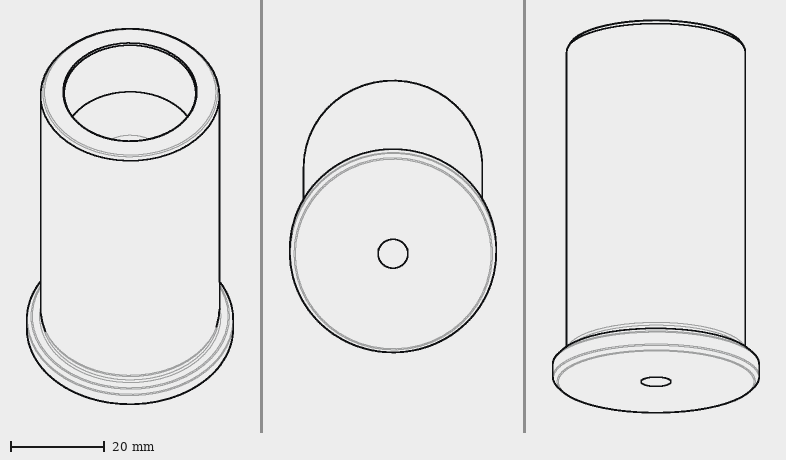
import cadquery as cq
import math

total_height = 75.0
body_radius = 38.1 / 2

corner_radius = 0.4

flange_radius = 44.0 / 2
flange_height = 5.0
flange_chamfer = 1.0

neck_radius = 37.8 / 2
body_bottom = 7.0
ramp_angle = 15.0
ramp_height = (body_radius - neck_radius) / math.tan(math.radians(ramp_angle))

lead_height = 1.0
lead_angle = 30.0
lead_width = lead_height * math.tan(math.radians(lead_angle))

bore_radius = 28.0 / 2
bore_depth = 15.0
mouth_chamfer_width = 0.25
mouth_chamfer_angle = 30.0
mouth_chamfer_depth = mouth_chamfer_width / math.tan(math.radians(mouth_chamfer_angle))
waist_radius = 15.0 / 2
drill_radius = 6.35 / 2
upper_funnel_slope = 45.0
lower_funnel_slope = 60.0


def revolved(section):
    """Turn a closed (radius, height) section about the Z axis."""
    return section.revolve(360, (0, 0, 0), (0, 1, 0))


def funnel_height(outer_radius, inner_radius, slope):
    """Height of a funnel whose wall leans `slope` degrees from horizontal."""
    return (outer_radius - inner_radius) * math.tan(math.radians(slope))


def flange():
    disc = cq.Workplane("XY").circle(flange_radius).extrude(flange_height)
    return disc.edges().chamfer(flange_chamfer).edges("%CIRCLE").fillet(corner_radius)


def body():
    """Neck, ramp, cylinder and lead-in; the lower end sits inside the flange."""
    outline = [
        (0, 0),
        (neck_radius, 0),
        (neck_radius, body_bottom - ramp_height),
        (body_radius, body_bottom),
        (body_radius, total_height - lead_height),
        (body_radius - lead_width, total_height),
        (0, total_height),
    ]
    turned = revolved(cq.Workplane("XZ").polyline(outline).close())
    return turned.edges(">Z").fillet(corner_radius)


def neck_root():
    """Ring with a concave quarter-round section where the neck meets the flange."""
    section = (
        cq.Workplane("XZ")
        .moveTo(neck_radius, flange_height)
        .lineTo(neck_radius + corner_radius, flange_height)
        .radiusArc((neck_radius, flange_height + corner_radius), corner_radius)
        .close()
    )
    return revolved(section)


def bore():
    funnel_top = total_height - bore_depth
    waist_z = funnel_top - funnel_height(bore_radius, waist_radius, upper_funnel_slope)
    drill_top = waist_z - funnel_height(waist_radius, drill_radius, lower_funnel_slope)
    outline = [
        (0, 0),
        (drill_radius, 0),
        (drill_radius, drill_top),
        (waist_radius, waist_z),
        (bore_radius, funnel_top),
        (bore_radius, total_height - mouth_chamfer_depth),
        (bore_radius + mouth_chamfer_width, total_height),
        (0, total_height),
    ]
    return revolved(cq.Workplane("XZ").polyline(outline).close())


result = flange().union(body()).union(neck_root()).cut(bore())